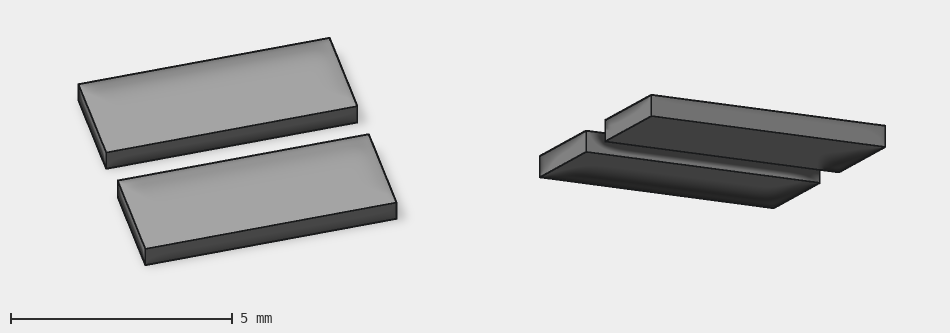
import cadquery as cq

overall_width = 5.71
plate_length = 5.87
plate_thickness = 0.5
plate_width = 2.37

plate_offset = (overall_width - plate_width) / 2


def make_plate(center_x):
    """Plain rectangular plate centred on Y and Z at the given X."""
    return (
        cq.Workplane("XY")
        .box(plate_width, plate_length, plate_thickness)
        .translate((center_x, 0, 0))
    )


plates = [make_plate(side * plate_offset) for side in (-1, 1)]

result = cq.Compound.makeCompound([plate.val() for plate in plates])